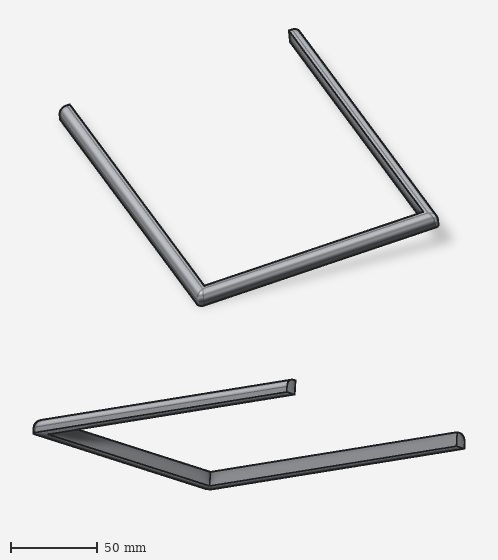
import cadquery as cq

tilt_angle = 5.0
frame_length = 201.54
frame_width = 153.6
bar_width = 7.0
bar_height = 8.49
top_round_radius = 5.0
corner_radius = 3.0


def flat_frame():
    """U-shaped frame lying flat, centred on the origin and open toward -X."""
    outer = cq.Workplane("XY").box(frame_length, frame_width, bar_height)
    opening_width = frame_width - 2 * bar_width
    opening = (
        cq.Workplane("XY")
        .box(frame_length, opening_width, bar_height)
        .translate((-bar_width, 0, 0))
    )
    return outer.cut(opening)


def round_outer_top(frame):
    """Round the top edges along the outside of both arms and the crossbar."""
    arm_edges = "(>Z and >Y) or (>Z and <Y)"
    crossbar_edge = "(>Z and >X)"
    return frame.edges(f"{arm_edges} or {crossbar_edge}").fillet(top_round_radius)


def round_outer_corners(frame):
    """Round each outer corner; the rounding fades out along the mitre line of the top."""
    return frame.edges("|Z and >X").fillet(corner_radius)


frame = round_outer_corners(round_outer_top(flat_frame()))
result = frame.rotate((0, 0, 0), (1, 0, 0), tilt_angle)